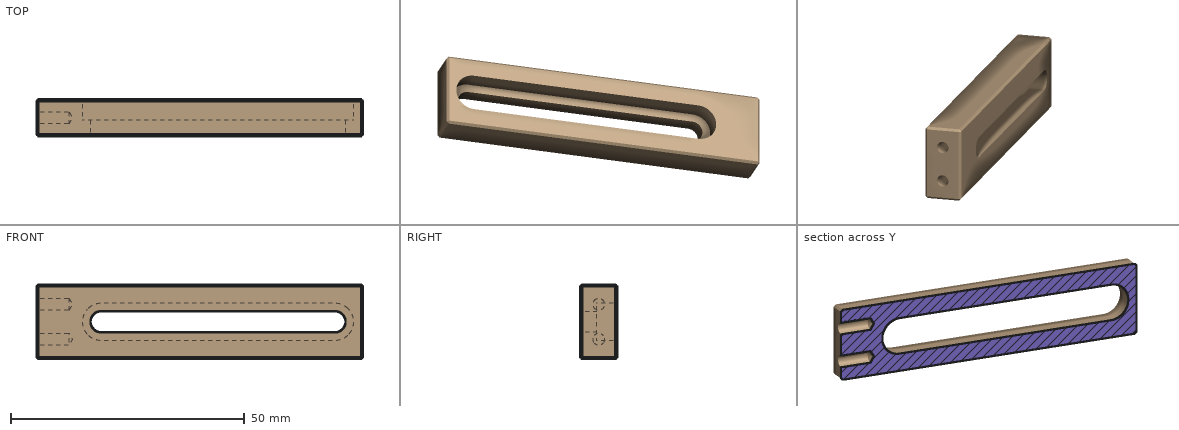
import cadquery as cq
import math

length = 70.0
thickness = 8.0
height = 16.0
edge_chamfer = 0.5

slot_start = 11.6
slot_length = 54.6
slot_width = 4.5
recess_width = 8.0
recess_floor = 3.5

hole_diameter = 2.5
hole_spacing = 7.5
hole_depth = 7.0
drill_tip_angle = 118.0


def make_bar():
    return cq.Workplane("XY").box(length, thickness, height).edges().chamfer(edge_chamfer)


def make_slot(start_y, overall_length, width):
    """Rounded slot running from start_y to the +Y face."""
    center_x = -length / 2 + slot_start + slot_length / 2
    return (
        cq.Workplane("XZ", origin=(center_x, start_y, 0))
        .slot2D(overall_length, width)
        .extrude(start_y - thickness / 2)
    )


def make_end_hole(z):
    """Drilled hole along +X, with a conical bottom."""
    radius = hole_diameter / 2
    tip_length = radius / math.tan(math.radians(drill_tip_angle / 2))
    start_x = -length / 2
    shoulder_x = start_x + hole_depth
    return (
        cq.Workplane("XY", origin=(0, 0, z))
        .moveTo(start_x, 0)
        .lineTo(start_x, radius)
        .lineTo(shoulder_x, radius)
        .lineTo(shoulder_x + tip_length, 0)
        .close()
        .revolve(360, (start_x, 0, 0), (shoulder_x, 0, 0))
    )


front_y = -thickness / 2
recess_length = slot_length + recess_width - slot_width

result = make_bar()
result = result.cut(make_slot(front_y, slot_length, slot_width))
result = result.cut(make_slot(front_y + recess_floor, recess_length, recess_width))
for side in (-1, 1):
    result = result.cut(make_end_hole(side * hole_spacing / 2))